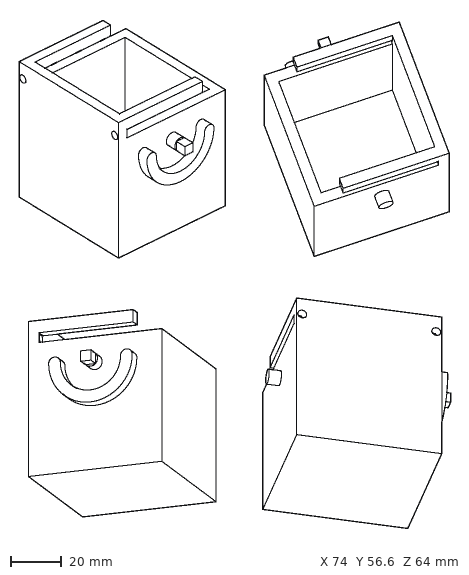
import cadquery as cq

overall_x = 74
box_x = 59.0
box_y = 56.6
box_z = 64.0
wall = 4.5

arm_height = 5.2
slot_height = 4.0
arm_back_gap = 12.1
rod_hole_diameter = 3.55

pivot_depth = 20.05
pivot_diameter = 6.0
ring_radius = 15.25
ring_width = 4.95
square_side = 4.3
stub_length = (overall_x - box_x) / 3

rim_z = box_z - arm_height - slot_height
pivot_z = box_z - pivot_depth
front_y = -box_y / 2
back_y = box_y / 2
side_x = box_x / 2


def block(x_range, y_range, z_range):
    """Axis-aligned block given by its limits along each axis."""
    lows, highs = zip(x_range, y_range, z_range)
    sizes = [high - low for low, high in zip(lows, highs)]
    return cq.Workplane("XY").box(*sizes, centered=False).translate(lows)


def make_box():
    """Open box whose front wall carries two overhanging side arms."""
    across = (-side_x, side_x)
    body = block(across, (front_y, back_y), (0, box_z))
    inside_front = front_y + wall
    body = body.cut(block(across, (inside_front, back_y), (rim_z, rim_z + slot_height)))
    body = body.cut(block(across, (back_y - arm_back_gap, back_y), (rim_z, box_z)))
    cavity = block(
        (-side_x + wall, side_x - wall),
        (inside_front, back_y - wall),
        (wall, box_z),
    )
    return body.cut(cavity)


def make_rod_holes():
    """Holes through the front wall, in line with the slots under the arms."""
    hole_x = side_x - wall / 2
    hole_z = rim_z + slot_height / 2
    return (
        cq.Workplane("XZ", origin=(0, front_y, hole_z))
        .pushPoints([(-hole_x, 0), (hole_x, 0)])
        .circle(rod_hole_diameter / 2)
        .extrude(-wall)
    )


def pivot_plane(x):
    """YZ workplane centred on the pivot axis."""
    return cq.Workplane("YZ", origin=(x, 0, pivot_z))


def make_half_ring():
    """Raised semicircular band below the pivot, with rounded ends."""
    outer = ring_radius + ring_width / 2
    inner = ring_radius - ring_width / 2
    return (
        pivot_plane(side_x)
        .moveTo(-outer, 0)
        .threePointArc((0, -outer), (outer, 0))
        .threePointArc((ring_radius, ring_width / 2), (inner, 0))
        .threePointArc((0, -inner), (-inner, 0))
        .threePointArc((-ring_radius, ring_width / 2), (-outer, 0))
        .close()
        .extrude(stub_length)
    )


left_pin = pivot_plane(-side_x).circle(pivot_diameter / 2).extrude(-stub_length)
right_pin = pivot_plane(side_x).circle(pivot_diameter / 2).extrude(stub_length)
square_drive = pivot_plane(side_x + stub_length).rect(square_side, square_side).extrude(stub_length)

result = make_box().cut(make_rod_holes())
for feature in (left_pin, right_pin, square_drive, make_half_ring()):
    result = result.union(feature)